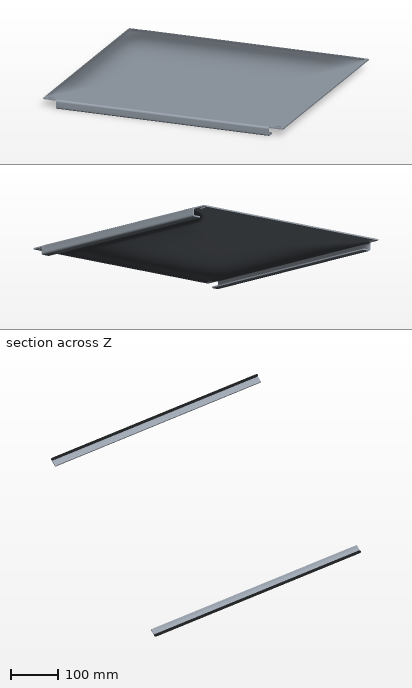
import cadquery as cq

panel_length = 545.0
overall_width = 500.0
overall_height = 20.0
sheet = 3.0

bend_radius = 4.5
inner_bend_radius = bend_radius - sheet
end_tab = 30.5
lip_depth = 20.0
fold_length = panel_length - 2 * end_tab
plate_width = overall_width - 2 * bend_radius

slot_length = 14.0
slot_width = 6.5
slot_from_end = 13.5
slot_from_side = 7.5


def make_plate():
    return cq.Workplane("XY").box(
        panel_length, plate_width, sheet, centered=(True, True, False)
    ).translate((0, 0, overall_height - sheet))


def make_fold():
    """C-shaped folded edge on the -Y side, hollow and open toward the centre."""
    outer_face = -overall_width / 2
    outer = (
        cq.Workplane("XY")
        .box(fold_length, lip_depth, overall_height, centered=(True, False, False))
        .edges("|X and <Y")
        .fillet(bend_radius)
        .translate((0, outer_face, 0))
    )
    hollow = (
        cq.Workplane("XY")
        .box(fold_length, lip_depth, overall_height - 2 * sheet, centered=(True, False, False))
        .edges("|X and <Y")
        .fillet(inner_bend_radius)
        .translate((0, outer_face + sheet, sheet))
    )
    return outer.cut(hollow)


def make_slots():
    slot_x = panel_length / 2 - slot_from_end
    slot_y = plate_width / 2 - slot_from_side
    return cq.Workplane("XY").pushPoints(
        [(x, y) for x in (-slot_x, slot_x) for y in (-slot_y, slot_y)]
    ).slot2D(slot_length, slot_width).extrude(overall_height)


front_fold = make_fold()
back_fold = front_fold.mirror("XZ")
result = make_plate().union(front_fold).union(back_fold).cut(make_slots())